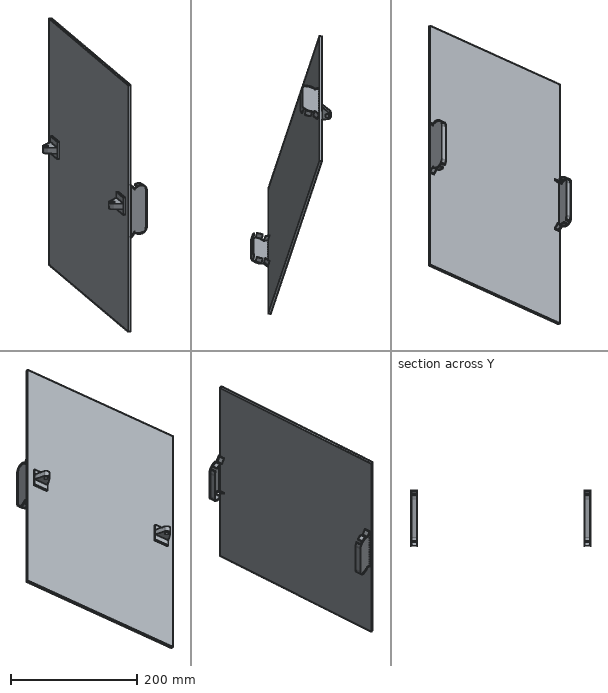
import cadquery as cq
import math

PANEL_WIDTH = 285.0
PANEL_HEIGHT = 430.0
PANEL_THICKNESS = 4.5

HINGE_SPACING = 237.0
HINGE_REACH = 22.0
PAD_WIDTH = 25.5
PAD_HEIGHT = 30.0
PAD_THICKNESS = 3.0
LUG_THICKNESS = 10.0
LUG_TIP_RADIUS = 6.0
PIN_HOLE_DIAMETER = 6.0

BRACKET_SHIFT_X = 2.0
BRACKET_CENTER_Z = -4.7
BRACKET_WIDTH = 10.0
BRACKET_DEPTH = 28.0
BRACKET_HEIGHT = 85.0
END_RADIUS = 12.0
FOOT_DEPTH = 7.0
SHEET_THICKNESS = 1.5

TAB_DEPTH = 10.0

BACK_FACE_Y = PANEL_THICKNESS
BRACKET_BACK_Y = BACK_FACE_Y + BRACKET_DEPTH
END_CENTER_Y = BRACKET_BACK_Y - END_RADIUS
END_CENTER_Z = BRACKET_HEIGHT / 2 - END_RADIUS
FOOT_TOP_Y = BACK_FACE_Y + FOOT_DEPTH
TAB_FRONT_Y = END_CENTER_Y - TAB_DEPTH / 2
TAB_BACK_Y = END_CENTER_Y + TAB_DEPTH / 2
SLOT_WIDTH = TAB_FRONT_Y - FOOT_TOP_Y
GAP_BACK_Y = TAB_BACK_Y + SLOT_WIDTH


def box_between(x0, x1, y0, y1, z0, z1):
    """Box with the given X, Y and Z ranges."""
    return cq.Workplane("XY").box(x1 - x0, y1 - y0, z1 - z0, centered=False).translate((x0, y0, z0))


def make_panel():
    return (
        cq.Workplane("XY")
        .box(PANEL_WIDTH, PANEL_THICKNESS, PANEL_HEIGHT)
        .translate((0, PANEL_THICKNESS / 2, 0))
    )


def make_hinge(center_x):
    """Base pad with a lug whose sides run from the pad edges tangent to the round tip."""
    root_half = PAD_WIDTH / 2
    root_y = -PAD_THICKNESS
    tip_center_y = LUG_TIP_RADIUS - HINGE_REACH
    tip_distance = root_y - tip_center_y
    tangent_angle = math.atan2(tip_distance, root_half) - math.acos(
        LUG_TIP_RADIUS / math.hypot(root_half, tip_distance)
    )
    tangent_x = LUG_TIP_RADIUS * math.cos(tangent_angle)
    tangent_y = tip_center_y + LUG_TIP_RADIUS * math.sin(tangent_angle)
    lug = (
        cq.Workplane("XY")
        .moveTo(-root_half, root_y)
        .lineTo(-tangent_x, tangent_y)
        .threePointArc((0, -HINGE_REACH), (tangent_x, tangent_y))
        .lineTo(root_half, root_y)
        .close()
        .moveTo(0, tip_center_y)
        .circle(PIN_HOLE_DIAMETER / 2)
        .extrude(LUG_THICKNESS / 2, both=True)
    )
    pad = (
        cq.Workplane("XY")
        .box(PAD_WIDTH, PAD_THICKNESS, PAD_HEIGHT)
        .translate((0, -PAD_THICKNESS / 2, 0))
    )
    return pad.union(lug).translate((center_x, 0, 0))


def bracket_profile(inset, x_start):
    """Bracket outline moved inward by inset, extruded from x_start to the rim's inner edge."""
    radius = END_RADIUS - inset
    outer_neck_z = END_CENTER_Z + math.sqrt(END_RADIUS**2 - (END_CENTER_Y - FOOT_TOP_Y) ** 2)
    foot_z = outer_neck_z + FOOT_DEPTH - inset * math.sqrt(2)
    foot_rise = foot_z - END_CENTER_Z - (END_CENTER_Y - BACK_FACE_Y)
    neck_offset = (foot_rise + math.sqrt(2 * radius**2 - foot_rise**2)) / 2
    neck_y = END_CENTER_Y - (neck_offset - foot_rise)
    neck_z = END_CENTER_Z + neck_offset
    crown_z = END_CENTER_Z + radius
    back_y = END_CENTER_Y + radius
    return (
        cq.Workplane("YZ")
        .workplane(offset=x_start)
        .moveTo(BACK_FACE_Y, -foot_z)
        .lineTo(BACK_FACE_Y, foot_z)
        .lineTo(neck_y, neck_z)
        .threePointArc((END_CENTER_Y, crown_z), (back_y, END_CENTER_Z))
        .lineTo(back_y, -END_CENTER_Z)
        .threePointArc((END_CENTER_Y, -crown_z), (neck_y, -neck_z))
        .close()
        .extrude(BRACKET_WIDTH - x_start)
    )


def full_shell():
    """Left-hand wall and unbroken rim, with the wall's outer face at x = 0."""
    return bracket_profile(0, 0).cut(bracket_profile(SHEET_THICKNESS, SHEET_THICKNESS))


def end_box(end, y0, y1):
    """Box around the rim (not the wall) at the upper (+1) or lower (-1) end of a bracket."""
    z0, z1 = sorted((0, end * BRACKET_HEIGHT))
    return box_between(SHEET_THICKNESS, BRACKET_WIDTH, y0, y1, z0, z1)


def place_on_side(body, side):
    """Move a left-hand body to the left (-1) or right (+1) edge of the panel."""
    if side > 0:
        body = body.mirror("YZ")
    return body.translate((side * PANEL_WIDTH / 2 + BRACKET_SHIFT_X, 0, BRACKET_CENTER_Z))


def make_bracket(side):
    shell = full_shell()
    for end in (-1, 1):
        shell = shell.cut(end_box(end, FOOT_TOP_Y, GAP_BACK_Y))
    return place_on_side(shell, side)


def make_tab(side, end):
    return place_on_side(full_shell().intersect(end_box(end, TAB_FRONT_Y, TAB_BACK_Y)), side)


bodies = [make_panel().solids().val()]
for side in (-1, 1):
    bodies.append(make_hinge(side * HINGE_SPACING / 2).solids().val())
    bodies.append(make_bracket(side).solids().val())
    for end in (-1, 1):
        bodies.append(make_tab(side, end).solids().val())

result = cq.Compound.makeCompound(bodies)